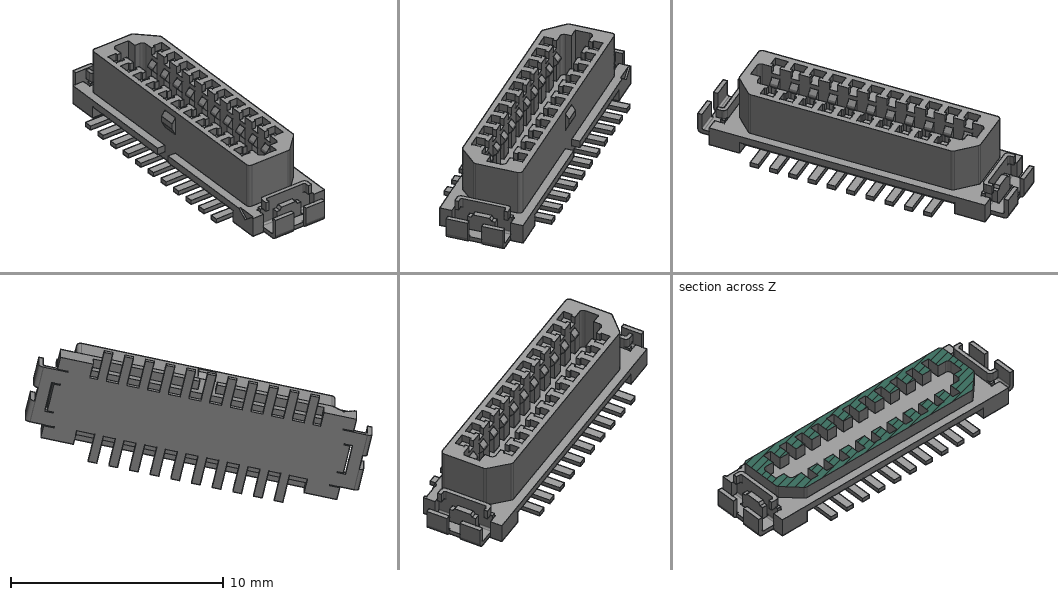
import cadquery as cq
import math


overall_length = 16.1
overall_width = 5.6
overall_height = 3.3

base_length = 14.3
base_width = 4.2
base_top = 1.0

recess_length = 11.14
recess_ceiling = 0.63

housing_length = 12.5
housing_width = 3.35
housing_corner_cut = 0.97
housing_corner_radius = 0.2

cavity_lower_length = 11.72
cavity_upper_length = 10.72
cavity_half_width = 0.71
cavity_step_y = 0.21
cavity_corner_radius = 0.2
cavity_floor = base_top

pitch = 1.0
lower_row_count = 11
upper_row_count = 10
slot_width = 0.66
slot_outer_y = 1.38
slot_inner_y = 0.92
neck_width = 0.43
contact_width = 0.42
contact_top = 2.91
nose_top = 2.67
nose_bottom = 2.06
nose_flat_reach = 0.21
nose_flat_drop = 0.24
lead_width = 0.42
sheet_thickness = 0.23

latch_width = 0.84
latch_reach = 0.2
latch_heights = (2.03, 2.4, 2.7, 2.98)

mark_centre_x = 6.54
mark_width = 1.0
mark_drop = 0.39
mark_depth = 0.1

clip_width = 2.87
clip_pocket_width = 2.96
clip_pocket_depth = 0.5
clip_back_thickness = 0.21
clip_bend_radius = 0.1
tab_top = 1.11
tab_gap = 0.71
tab_root_x = 7.84
clip_foot_top = tab_top
hook_width = 2.67
hook_bottom = clip_foot_top
hook_top = 1.6
hook_thickness = 0.2
hook_radius = 0.2
window_width = 1.5
window_outer_x = 7.26
block_width = 1.4
block_shoulder_z = 0.85
block_slope_y = 0.52
block_top_y = 0.42

half_base = base_length / 2
clip_inner_x = half_base - clip_pocket_depth
clip_back_x = clip_inner_x + clip_back_thickness
lead_reach = overall_width / 2


def box(x_range, y_range, z_range):
    """Axis-aligned box from (min, max) pairs."""
    size = [high - low for low, high in (x_range, y_range, z_range)]
    low_corner = (x_range[0], y_range[0], z_range[0])
    return cq.Workplane("XY").box(*size, centered=False).translate(low_corner)


def centred_box(centre_x, width, y_range, z_range):
    """Box centred on centre_x."""
    return box((centre_x - width / 2, centre_x + width / 2), y_range, z_range)


def extrude_along_x(points_yz, centre_x, width):
    """Closed YZ outline extruded symmetrically about centre_x."""
    plane = cq.Workplane("YZ", origin=(centre_x, 0, 0))
    return plane.polyline(points_yz).close().extrude(width / 2, both=True)


def mirror_both_ends(end_solid):
    """The +X end feature plus its copy at the -X end."""
    return end_solid.union(end_solid.mirror("YZ"))


def make_body():
    """Base flange with undercut edges, carrying the housing block."""
    half_housing = housing_width / 2
    body = cq.Workplane("XY").box(base_length, base_width, base_top, centered=(True, True, False))

    for side in (-1, 1):
        outer_band = sorted((side * half_housing, side * base_width / 2))
        foot_band = sorted((side * slot_outer_y, side * base_width / 2))
        body = body.cut(centred_box(0, recess_length, outer_band, (0, recess_ceiling)))
        body = body.cut(centred_box(0, recess_length, foot_band, (0, sheet_thickness)))

    body = body.cut(centred_box(0, latch_width, (-base_width / 2, -half_housing), (0, base_top)))

    half_length = housing_length / 2
    outline = [
        (-half_length, -half_housing),
        (half_length, -half_housing),
        (half_length, half_housing - housing_corner_cut),
        (half_length - housing_corner_cut, half_housing),
        (housing_corner_cut - half_length, half_housing),
        (-half_length, half_housing - housing_corner_cut),
    ]
    housing = (
        cq.Workplane("XY", origin=(0, 0, base_top))
        .polyline(outline)
        .close()
        .extrude(overall_height - base_top)
        .edges("|Z")
        .fillet(housing_corner_radius)
    )
    return body.union(housing)


def make_cavity():
    """Stepped mating opening, narrower along its +Y side, with rounded outer corners."""
    depth = (cavity_floor, overall_height)
    lower = centred_box(0, cavity_lower_length, (-cavity_half_width, cavity_step_y), depth)
    upper = centred_box(0, cavity_upper_length, (-cavity_half_width, cavity_half_width), depth)
    lower = lower.edges("|Z and <Y").fillet(cavity_corner_radius)
    upper = upper.edges("|Z and >Y").fillet(cavity_corner_radius)
    return lower.union(upper)


def make_contact_row(count, side):
    """Slot cutters and metal contacts (nose and lead) of one row; side is -1 or +1 along Y."""
    slots = cq.Workplane("XY")
    contacts = cq.Workplane("XY")
    depth = (contact_top, overall_height)
    wall_y = cavity_half_width
    flat_y = wall_y - nose_flat_reach
    tip_half_height = (nose_top - nose_bottom) / 2 - nose_flat_drop
    flat_angle = math.atan2(nose_flat_reach, nose_flat_drop)
    tip_y = flat_y - tip_half_height * math.tan(flat_angle / 2)
    for index in range(count):
        x = (index - (count - 1) / 2) * pitch
        slot_band = sorted((side * slot_inner_y, side * slot_outer_y))
        neck_band = sorted((0, side * slot_inner_y))
        channel_band = sorted((0, side * slot_outer_y))
        slots = slots.union(centred_box(x, slot_width, slot_band, depth))
        slots = slots.union(centred_box(x, neck_width, neck_band, depth))
        slots = slots.union(centred_box(x, neck_width, channel_band, (cavity_floor, nose_top)))

        nose = (
            cq.Workplane("YZ", origin=(x, 0, 0))
            .moveTo(side * slot_outer_y, nose_top)
            .lineTo(side * wall_y, nose_top)
            .lineTo(side * flat_y, nose_top - nose_flat_drop)
            .threePointArc(
                (side * tip_y, (nose_top + nose_bottom) / 2),
                (side * flat_y, nose_bottom + nose_flat_drop),
            )
            .lineTo(side * wall_y, nose_bottom)
            .lineTo(side * slot_outer_y, nose_bottom)
            .close()
            .extrude(contact_width / 2, both=True)
        )
        lead_band = sorted((side * slot_inner_y, side * lead_reach))
        lead = centred_box(x, lead_width, lead_band, (0, sheet_thickness))
        contacts = contacts.union(nose).union(lead)
    return slots, contacts


def make_latch():
    """Trapezoid bump on the -Y housing wall."""
    wall_y = -housing_width / 2
    crest_y = wall_y - latch_reach
    low, crest_low, crest_high, high = latch_heights
    profile = [(wall_y, low), (crest_y, crest_low), (crest_y, crest_high), (wall_y, high)]
    return extrude_along_x(profile, 0, latch_width)


def make_pin_one_mark():
    """Triangular notch in the upper -Y edge of the base."""
    half_mark = mark_width / 2
    return (
        cq.Workplane("XZ", origin=(mark_centre_x, -base_width / 2, base_top))
        .polyline([(-half_mark, 0), (half_mark, 0), (0, -mark_drop)])
        .close()
        .extrude(-mark_depth)
    )


def make_clip():
    """Bent hold-down clip at the +X end, with the housing block inside its window."""
    half_clip = clip_width / 2
    tip_x = overall_length / 2
    tab_inner_x = tip_x - sheet_thickness

    strip = (
        cq.Workplane("XZ")
        .polyline([
            (clip_inner_x, 0),
            (tip_x, 0),
            (tip_x, tab_top),
            (tab_inner_x, tab_top),
            (tab_inner_x, sheet_thickness),
            (clip_back_x, sheet_thickness),
            (clip_back_x, clip_foot_top),
            (clip_inner_x, clip_foot_top),
        ])
        .close()
        .extrude(half_clip, both=True)
    )
    pick_margin = 0.02
    inner_bends = cq.selectors.BoxSelector(
        (clip_back_x - pick_margin, -half_clip, sheet_thickness - pick_margin),
        (tip_x - pick_margin, half_clip, sheet_thickness + pick_margin),
    )
    strip = strip.edges("|Y").edges(inner_bends).fillet(clip_bend_radius)
    strip = strip.edges("|Y and >X and <Z").fillet(sheet_thickness)

    gap_band = (-tab_gap / 2, tab_gap / 2)
    bend_start_x = tab_inner_x - clip_bend_radius
    strip = strip.cut(box((tab_root_x, tip_x), gap_band, (0, tab_top)))
    strip = strip.cut(box((bend_start_x, tip_x), gap_band, (sheet_thickness, tab_top)))
    half_window = window_width / 2
    strip = strip.cut(
        box((clip_back_x, window_outer_x), (-half_window, half_window), (0, clip_foot_top))
    )

    half_hook = hook_width / 2
    hooks = box((clip_inner_x, half_base), (-half_hook, half_hook), (0, hook_top))
    hooks = hooks.edges("|Z and <X").fillet(hook_radius)
    inner_half = half_hook - hook_thickness
    hook_space = box((clip_back_x, half_base), (-inner_half, inner_half), (0, hook_top))
    hook_space = hook_space.edges("|Z and <X").fillet(clip_bend_radius)
    under_hooks = box((clip_back_x, half_base), (-half_hook, half_hook), (0, hook_bottom))
    hooks = hooks.cut(hook_space).cut(under_hooks)

    half_block = block_width / 2
    block_outline = [
        (-half_block, 0),
        (half_block, 0),
        (half_block, block_shoulder_z),
        (block_slope_y, block_shoulder_z),
        (block_top_y, base_top),
        (-block_top_y, base_top),
        (-block_slope_y, block_shoulder_z),
        (-half_block, block_shoulder_z),
    ]
    block_length = half_base - clip_back_x
    block = extrude_along_x(block_outline, clip_back_x + block_length / 2, block_length)
    return strip.union(hooks).union(block)


def make_clip_pocket():
    """Notch through the +X end of the base for the clip."""
    half_pocket = clip_pocket_width / 2
    return box((clip_inner_x, half_base), (-half_pocket, half_pocket), (0, base_top))


lower_slots, lower_contacts = make_contact_row(lower_row_count, -1)
upper_slots, upper_contacts = make_contact_row(upper_row_count, 1)

result = (
    make_body()
    .cut(make_cavity())
    .cut(lower_slots)
    .cut(upper_slots)
    .union(lower_contacts)
    .union(upper_contacts)
    .union(make_latch())
    .cut(make_pin_one_mark())
    .cut(mirror_both_ends(make_clip_pocket()))
    .union(mirror_both_ends(make_clip()))
)